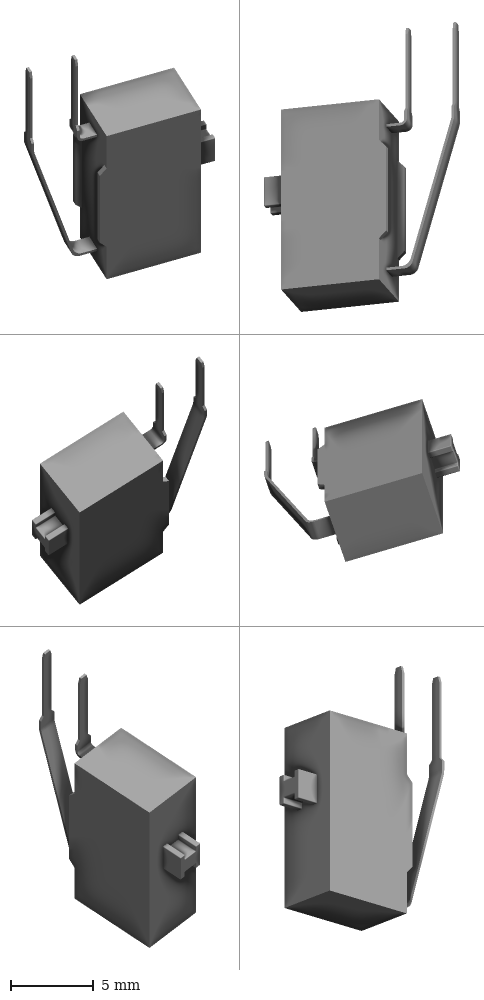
import cadquery as cq


body_width = 4.15
body_depth = 6.2
body_height = 11.6

rib_width = 0.35
rib_projection = 0.45
rib_bottom = 2.65
rib_top = 8.98

button_width = 1.77
button_height = 1.87
button_length = 1.46
button_center_z = 6.88
button_groove_width = 0.96
button_groove_depth = 0.4
button_rounding = 0.05

strip_width = 1.2
strip_thickness = 0.17
pin_width = 0.7
pin_tip_width = 0.45
pin_tip_length = 0.42
shoulder_top = body_height - 0.1
pin_pitch = 3.0

short_reach = 1.31
short_underside = body_height - 1.26
short_pin_top = body_height + 5.11
short_bend_radii = (0.4, 0.4 - strip_thickness)

long_reach = short_reach + pin_pitch
long_underside = 1.09
long_pin_top = body_height + 5.16
long_lower_corner_y = 1.56
long_upper_corner_z = 10.48
long_lower_bend_radii = (0.55, 0.65)
long_upper_bend_radii = (1.1, 1.1 - strip_thickness)


def make_body():
    return cq.Workplane("XY").box(
        body_width, body_depth, body_height, centered=(True, False, False)
    )


def make_rib(side):
    """Trapezoidal rib with 45 degree ends, flush with the housing side at +X or -X."""
    outline = [
        (0, rib_bottom),
        (-rib_projection, rib_bottom + rib_projection),
        (-rib_projection, rib_top - rib_projection),
        (0, rib_top),
    ]
    rib = cq.Workplane("YZ").polyline(outline).close().extrude(rib_width / 2, both=True)
    return rib.translate((side * (body_width - rib_width) / 2, 0, 0))


def make_button():
    """H-section button, rounded along its length and around its free end."""
    button = cq.Workplane("XY").box(
        button_width, button_length, button_height, centered=(True, False, True)
    )
    groove_center_z = (button_height - button_groove_depth) / 2
    for side in (-1, 1):
        groove = cq.Workplane("XY").box(
            button_groove_width, button_length, button_groove_depth, centered=(True, False, True)
        )
        button = button.cut(groove.translate((0, 0, side * groove_center_z)))
    button = button.edges("|Y").fillet(button_rounding)
    button = button.faces(">Y").edges().fillet(button_rounding)
    return button.translate((0, body_depth, button_center_z))


def mitre_point(before, corner, after):
    """Inner-face corner facing a convex (Y, Z) corner of the outer face, one thickness away."""
    corner = cq.Vector(*corner)
    leg_in = (corner - cq.Vector(*before)).normalized()
    leg_out = (cq.Vector(*after) - corner).normalized()
    normals = cq.Vector(leg_in.y + leg_out.y, -leg_in.x - leg_out.x)
    inner = corner + normals * (strip_thickness / (1 + leg_in.dot(leg_out)))
    return (inner.x, inner.y)


def bent_strip(outer_corners, bend_radii):
    """Strip with sharp outer-face corners rounded by one (outer, inner) radius pair per bend."""
    bends = list(zip(outer_corners, outer_corners[1:], outer_corners[2:]))
    inner_corners = [mitre_point(*bend) for bend in bends]
    start_y, start_z = outer_corners[0]
    end_y, end_z = outer_corners[-1]
    inner_face = [(start_y, start_z + strip_thickness)]
    inner_face += inner_corners
    inner_face.append((end_y + strip_thickness, end_z))
    outline = outer_corners + inner_face[::-1]
    strip = cq.Workplane("YZ").polyline(outline).close().extrude(strip_width / 2, both=True)
    for outer, inner, radii in zip(outer_corners[1:-1], inner_corners, bend_radii):
        for (y, z), radius in zip((outer, inner), radii):
            strip = strip.edges(cq.NearestToPointSelector((0, y, z))).fillet(radius)
    return strip


def blade_outline(pin_top, depth):
    """Solid block in the blade's front shape: wide strip, 45 degree shoulders, tapered pin."""
    shoulder = (strip_width - pin_width) / 2
    right_side = [
        (strip_width / 2, 0),
        (strip_width / 2, shoulder_top - shoulder),
        (pin_width / 2, shoulder_top),
        (pin_width / 2, pin_top - pin_tip_length),
        (pin_tip_width / 2, pin_top),
    ]
    left_side = [(-x, z) for x, z in reversed(right_side)]
    return cq.Workplane("XZ").polyline(right_side + left_side).close().extrude(depth)


def make_short_terminal():
    outer_corners = [
        (0, short_underside),
        (-short_reach, short_underside),
        (-short_reach, short_pin_top),
    ]
    strip = bent_strip(outer_corners, [short_bend_radii])
    return strip.intersect(blade_outline(short_pin_top, short_reach))


def make_long_terminal():
    outer_corners = [
        (0, long_underside),
        (-long_lower_corner_y, long_underside),
        (-long_reach, long_upper_corner_z),
        (-long_reach, long_pin_top),
    ]
    strip = bent_strip(outer_corners, [long_lower_bend_radii, long_upper_bend_radii])
    return strip.intersect(blade_outline(long_pin_top, long_reach))


result = make_body()
for side in (-1, 1):
    result = result.union(make_rib(side))
result = result.union(make_button())
result = result.union(make_short_terminal())
result = result.union(make_long_terminal())